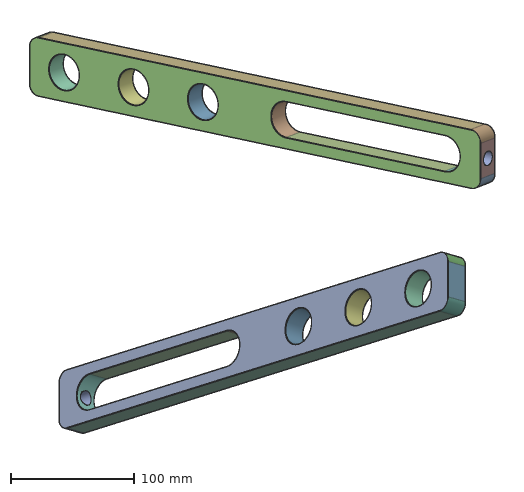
import cadquery as cq

LENGTH = 455.0
THICKNESS = 20.0
HEIGHT = 50.0
CORNER_RADIUS = 10.0
EDGE_CHAMFER = 0.5

HOLE_DIAMETER = 30.0
HOLE_COUNT = 3
HOLE_PITCH = 70.0
FIRST_HOLE_MARGIN = 35.0

SLOT_WIDTH = 30.0
SLOT_CENTER_DISTANCE = 160.0
SLOT_MARGIN = 36.0

END_HOLE_DIAMETER = 12.0

HALF_LENGTH = LENGTH / 2
FIRST_HOLE_X = -HALF_LENGTH + FIRST_HOLE_MARGIN
SLOT_OUTER_X = HALF_LENGTH - SLOT_MARGIN
SLOT_MIDDLE_X = SLOT_OUTER_X - SLOT_CENTER_DISTANCE / 2
SLOT_LENGTH = SLOT_CENTER_DISTANCE + SLOT_WIDTH


def make_block():
    """Plain rectangular block with the outer size of the bar."""
    return cq.Workplane("XY").box(LENGTH, THICKNESS, HEIGHT)


def cut_round_holes(body):
    """Evenly spaced holes through the thickness."""
    centers = [(FIRST_HOLE_X + i * HOLE_PITCH, 0) for i in range(HOLE_COUNT)]
    cutter = cq.Workplane("XZ").pushPoints(centers).circle(HOLE_DIAMETER / 2).extrude(THICKNESS, both=True)
    return body.cut(cutter)


def cut_slot(body):
    """Round-ended slot through the thickness."""
    sketch = cq.Workplane("XZ").center(SLOT_MIDDLE_X, 0).slot2D(SLOT_LENGTH, SLOT_WIDTH)
    return body.cut(sketch.extrude(THICKNESS, both=True))


def chamfer_broad_faces(body):
    """Small chamfer along every edge of both broad faces, openings included."""
    return body.faces("<Y or >Y").edges().chamfer(EDGE_CHAMFER)


def round_corners(body):
    """Round the four corners about Y, so the straight chamfers run out on the corner arcs."""
    rounded_block = make_block().edges("|Y").fillet(CORNER_RADIUS)
    return body.intersect(rounded_block)


def cut_end_hole(body):
    """Hole from the +X end face that opens into the rounded end of the slot."""
    sketch = cq.Workplane("YZ").workplane(offset=SLOT_OUTER_X).circle(END_HOLE_DIAMETER / 2)
    return body.cut(sketch.extrude(SLOT_MARGIN))


bar = cut_slot(cut_round_holes(make_block()))
bar = round_corners(chamfer_broad_faces(bar))
result = cut_end_hole(bar)